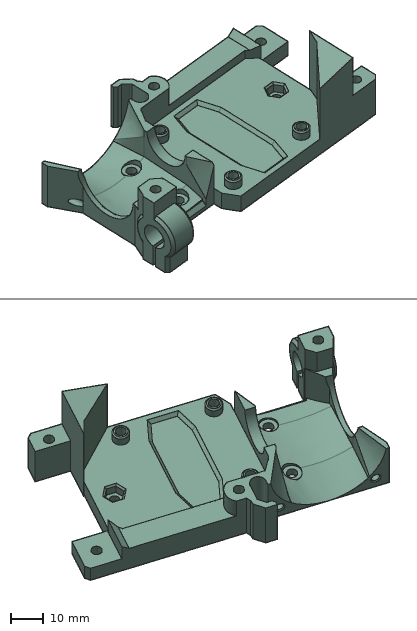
import cadquery as cq
import math

PLATE_W = 50.5
PLATE_FRONT = 36.1
PLATE_BACK = 90.3
PLATE_EDGE = 90.0
PLATE_T = 6.4
OVERALL_L = 102.1
BODY_H = 16.9
SCREW_D = 3.4

PLATE_CORNER_Y = 39.2
PLATE_CORNER_X = 5.3
STRIP_W = 8.2
STRIP_H = 9.8
RAMP_START = 87.8
RAMP_TOP = 11.7
RAMP_TIP_X = 11.6

LEFT_TAB_W = 12.1
LEFT_TAB_H = 5.8
RIGHT_TAB_X = 43.2
RIGHT_TAB_H = 14.7
TAB_CORNER = 1.4
TAB_HOLE_Y = 96.3
TAB_HOLES_X = (6.0, 46.3)

POST_LEFT = 32.2
POST_KNEE = (37.2, 88.2)
POST_FRONT = 75.1
POST_TOP = 30.5
POST_FRONT_TOP = 27.5

NUT_POS = (25.1, 82.8)
NUT_FLATS = 5.5
NUT_RIM_FLATS = 6.7
NUT_DEPTH = 3.6
STANDOFFS = ((44.8, 72.9), (13.8, 41.9), (44.8, 41.9))
STANDOFF_D = 5.5
STANDOFF_H = 9.8
STANDOFF_CHAMFER = 0.5
POCKET_CENTER = (29.4, 57.4)
POCKET_L = 38.5
POCKET_FLAT_L = 22.7
POCKET_W = 15.5
POCKET_SIDE_W = 10.4
POCKET_DEPTH = 1.1

BOSS_POS = (4.1, 49.6)
BOSS_R = 4.7
SLOT_BOTTOM = 40.5
SLOT_TOP = 45.7
SLOT_END_X = 4.3
HOOK_OUTLINE = (
    (0, SLOT_TOP), (0, 48.7), (-1.4, 47.9), (-3.0, 47.7), (-5.9, 44.6), (-5.9, 40.7), (-4.8, 40.7),
    (-3.9, 41.9), (-3.9, 43.5), (-2.2, 45.2), (-1.5, SLOT_TOP),
)

DUCT_LEFT = 2.7
DUCT_RIGHT = 42.0
DUCT_CORNER_X = 13.0
FRONT_TIP_X = 5.0
FAN_WALL_END = 15.1
DUCT_FRONT = 5.3
DUCT_REAR = SLOT_BOTTOM
FAN_AXIS_Y = 20.3
FAN_AXIS_Z = 19.5
FAN_R = 19.4
FAN_SCREW_SPACING = 32.1
FAN_SCREW_MIDDLE_Y = 20.5
FAN_SCREW_Z = 4.0
FAN_SCREW_D = 2.8
FAN_SCREW_RIM_D = 3.5
SINK_FRONT = 7.0
SINK_REAR = 32.6
SINK_X = 25.0
FLARE_START = 0.4
FLARE_END = 15.7
FLARE_END_CREASE = 14.3
FLARE_END_CORNER = 5.9
FLARE_END_FLOOR = 3.0
OUTLET_START = 33.7
OUTLET_CREASE = 13.6
OUTLET_CORNER = 5.3
OUTLET_FLOOR = 3.7
OUTLET_REAR = 36.5
LIP_H = 2.9
LIP_CREASE = 4.3
LIP_CORNER = 3.1
LIP_CHAMFER = 1.4
CORNER_WALL = ((35.3, SINK_FRONT), (44.9, 15.5), (44.9, SINK_FRONT))
NECK_R = 8.1
ARCH_R = 11.3
FLOOR_SCREWS = ((15.0, 27.6), (35.0, 27.6))
FLOOR_SCREW_HEAD_D = 6.2
FLOOR_SCREW_SEAT = 2.9
UNDERSIDE_CHAMFER = 3.1

SHOULDER_START = (37.2, DUCT_FRONT)
SHOULDER_END = (42.7, 3.0)

CLAMP_FRONT = 2.5
CLAMP_BACK = 12.7
CLAMP_LEFT = 43.3
CLAMP_X = 48
CLAMP_Z = 12.1
CLAMP_R = 8.1
CLAMP_BORE_D = 8.4
CLAMP_FOOT_W = 11.2
CLAMP_SLOT_W = 1
CLAMP_CHAMFER = 1
LUG_LEFT = 39.3
LUG_RIGHT = 47.9
LUG_TOP = 26.2
LUG_CORNER_X = 2.7
LUG_CORNER_Y = 3.0
LUG_HOLE = (43.9, 7.5)
LUG_HOLE_DEPTH = 10.2


def prism(points, bottom, top):
    """Upright prism over a plan outline."""
    return cq.Workplane("XY", origin=(0, 0, bottom)).polyline(points).close().extrude(top - bottom)


def box(x0, x1, y0, y1, z0, z1):
    """Block between the given limits along each axis."""
    return cq.Workplane("XY").box(x1 - x0, y1 - y0, z1 - z0, centered=False).translate((x0, y0, z0))


def upright(points, diameter, bottom, top):
    """Upright cylinders at the given plan positions."""
    plane = cq.Workplane("XY", origin=(0, 0, bottom))
    return plane.pushPoints(points).circle(diameter / 2).extrude(top - bottom)


def along_y(x, z, radius, front, back):
    """Cylinder whose axis runs along Y."""
    return cq.Workplane("XZ", origin=(x, front, z)).circle(radius).extrude(front - back)


def make_plate():
    outline = [
        (0, SLOT_TOP), (0, PLATE_EDGE), (PLATE_W, PLATE_EDGE), (PLATE_W, PLATE_CORNER_Y),
        (PLATE_W - PLATE_CORNER_X, PLATE_FRONT), (STRIP_W, PLATE_FRONT), (STRIP_W, SLOT_TOP),
    ]
    plate = prism(outline, 0, PLATE_T)
    ramp_inset = RAMP_TIP_X - STRIP_W
    strip = prism(
        [(0, SLOT_TOP), (STRIP_W, SLOT_TOP), (STRIP_W, PLATE_BACK - ramp_inset),
         (RAMP_TIP_X, PLATE_BACK), (0, PLATE_BACK)], 0, RAMP_TOP)
    strip_profile = (
        cq.Workplane("YZ")
        .polyline([(SLOT_TOP, 0), (PLATE_BACK, 0), (PLATE_BACK, RAMP_TOP), (RAMP_START, STRIP_H),
                   (SLOT_TOP, STRIP_H)])
        .close().extrude(PLATE_W))
    return plate.union(strip.intersect(strip_profile))


def make_tabs():
    left = box(0, LEFT_TAB_W, PLATE_EDGE, OVERALL_L, 0, LEFT_TAB_H)
    left = left.edges("|Z and <X and >Y").chamfer(TAB_CORNER)
    right = box(RIGHT_TAB_X, PLATE_W, PLATE_EDGE, OVERALL_L, 0, RIGHT_TAB_H)
    right = right.edges("|Z and >X and >Y").chamfer(TAB_CORNER)
    return left.union(right)


def make_post():
    outline = [(POST_LEFT, PLATE_BACK), POST_KNEE, (PLATE_W, POST_FRONT), (PLATE_W, PLATE_BACK)]
    slope = (
        cq.Workplane("YZ")
        .polyline([(POST_FRONT, 0), (PLATE_BACK, 0), (PLATE_BACK, POST_TOP), (POST_FRONT, POST_FRONT_TOP)])
        .close().extrude(PLATE_W))
    return prism(outline, 0, POST_TOP).intersect(slope)


def make_hook_and_boss():
    hook = prism(HOOK_OUTLINE, 0, BODY_H)
    boss_disc = upright([BOSS_POS], 2 * BOSS_R, 0, BODY_H)
    boss = boss_disc.intersect(box(0, STRIP_W, SLOT_TOP, PLATE_BACK, 0, BODY_H))
    block = box(0, STRIP_W, SLOT_TOP, BOSS_POS[1] + BOSS_R / 2, 0, BODY_H)
    return hook.union(boss).union(block)


def make_duct_body():
    outline = [
        (DUCT_LEFT, 0), (FRONT_TIP_X, 0), (FAN_WALL_END, DUCT_FRONT), SHOULDER_START, SHOULDER_END,
        (CLAMP_LEFT, CLAMP_FRONT), (CLAMP_LEFT, CLAMP_BACK), (DUCT_RIGHT, CLAMP_BACK),
        (DUCT_RIGHT, PLATE_FRONT), (DUCT_CORNER_X, PLATE_FRONT),
        (STRIP_W, PLATE_CORNER_Y), (STRIP_W, SLOT_TOP), (DUCT_LEFT, SLOT_TOP),
    ]
    slot_r = (SLOT_TOP - SLOT_BOTTOM) / 2
    slot_y = SLOT_BOTTOM + slot_r
    slot = box(DUCT_LEFT, SLOT_END_X, SLOT_BOTTOM, SLOT_TOP, 0, BODY_H)
    slot = slot.union(upright([(SLOT_END_X, slot_y)], 2 * slot_r, 0, BODY_H))
    underside = (
        cq.Workplane("YZ", origin=(DUCT_LEFT, 0, 0))
        .polyline([(DUCT_REAR, 0), (DUCT_REAR, UNDERSIDE_CHAMFER), (DUCT_REAR - UNDERSIDE_CHAMFER, 0)])
        .close().extrude(SLOT_END_X + slot_r - DUCT_LEFT))
    return prism(outline, 0, BODY_H).cut(slot).cut(underside)


def fan_section():
    """Round opening for the fan, split where the heatsink walls and the flares begin."""
    half = math.sqrt(FAN_R**2 - (FAN_AXIS_Z - BODY_H)**2)
    front = FAN_AXIS_Y - half
    rear = FAN_AXIS_Y + half
    front_crease = SINK_FRONT - FLARE_START
    rear_crease = SINK_REAR + FLARE_START

    def rim(y):
        return (y, FAN_AXIS_Z - math.sqrt(FAN_R**2 - (y - FAN_AXIS_Y)**2))

    return (
        cq.Workplane("YZ", origin=(DUCT_LEFT, 0, 0))
        .moveTo(front, BODY_H)
        .threePointArc(rim((front + front_crease) / 2), rim(front_crease))
        .lineTo(*rim(SINK_FRONT))
        .threePointArc(rim(FAN_AXIS_Y), rim(SINK_REAR))
        .lineTo(*rim(rear_crease))
        .threePointArc(rim((rear + rear_crease) / 2), (rear, BODY_H))
        .close().val())


def inner_section(x, rear_top, crease_z, corner_z, middle_z):
    """Section with a bowed floor and upright walls; above the crease the rear wall may lean out."""
    middle_y = (SINK_FRONT + SINK_REAR) / 2
    return (
        cq.Workplane("YZ", origin=(x, 0, 0))
        .moveTo(SINK_FRONT, BODY_H)
        .lineTo(SINK_FRONT, crease_z)
        .lineTo(SINK_FRONT, corner_z)
        .threePointArc((middle_y, middle_z), (SINK_REAR, corner_z))
        .lineTo(SINK_REAR, crease_z)
        .lineTo(rear_top, BODY_H)
        .close().val())


def make_cavity():
    """Air path from the fan to the right outlet, with the heatsink's seats in the two walls."""
    sections = [
        fan_section(),
        inner_section(FLARE_END, SINK_REAR, FLARE_END_CREASE, FLARE_END_CORNER, FLARE_END_FLOOR),
        inner_section(OUTLET_START, SINK_REAR, OUTLET_CREASE, OUTLET_CORNER, OUTLET_FLOOR),
        inner_section(DUCT_RIGHT, OUTLET_REAR, LIP_CREASE, LIP_CORNER, LIP_H),
    ]
    cavity = cq.Workplane("XY")
    for start, end in zip(sections, sections[1:]):
        cavity = cavity.union(cq.Workplane(cq.Solid.makeLoft([start, end], True)))
    outlet = box(DUCT_RIGHT, LUG_RIGHT, CLAMP_BACK, SINK_REAR, 0, BODY_H)
    lip_slope = (
        cq.Workplane("XZ", origin=(0, SINK_REAR, 0))
        .polyline([(DUCT_RIGHT - LIP_CHAMFER, LIP_CREASE), (DUCT_RIGHT - LIP_CHAMFER, LIP_H),
                   (DUCT_RIGHT, LIP_H - LIP_CHAMFER), (DUCT_RIGHT, LIP_CREASE)])
        .close().extrude(SINK_REAR - CLAMP_BACK))
    corner_wall = prism(CORNER_WALL, 0, BODY_H)
    neck = along_y(SINK_X, BODY_H, NECK_R, FAN_AXIS_Y, PLATE_FRONT)
    arch = along_y(SINK_X, BODY_H, ARCH_R, 0, FAN_AXIS_Y)
    return cavity.union(outlet).union(lip_slope).cut(corner_wall).union(neck).union(arch)


def make_clamp():
    tube = along_y(CLAMP_X, CLAMP_Z, CLAMP_R, CLAMP_FRONT, CLAMP_BACK)
    tube = tube.faces("<Y or >Y").chamfer(CLAMP_CHAMFER)
    half_foot = CLAMP_FOOT_W / 2
    foot = box(CLAMP_X - half_foot, CLAMP_X + half_foot, CLAMP_FRONT, CLAMP_BACK, 0, CLAMP_Z - CLAMP_R / 2)
    foot = foot.edges("|Z").chamfer(CLAMP_CHAMFER)
    shoulder_slope = (SHOULDER_END[1] - SHOULDER_START[1]) / (SHOULDER_END[0] - SHOULDER_START[0])
    lug_front = SHOULDER_START[1] + shoulder_slope * (LUG_LEFT - SHOULDER_START[0])
    lug_outline = [
        (LUG_LEFT, lug_front), SHOULDER_END, (CLAMP_LEFT, CLAMP_FRONT), (LUG_RIGHT, CLAMP_FRONT),
        (LUG_RIGHT, CLAMP_BACK), (LUG_LEFT + LUG_CORNER_X, CLAMP_BACK),
        (LUG_LEFT, CLAMP_BACK - LUG_CORNER_Y),
    ]
    return tube.union(foot).union(prism(lug_outline, 0, LUG_TOP))


def cut_clamp(body):
    half_slot = CLAMP_SLOT_W / 2
    bore = along_y(CLAMP_X, CLAMP_Z, CLAMP_BORE_D / 2, 0, CLAMP_BACK)
    slot = box(CLAMP_X - half_slot, CLAMP_X + half_slot, CLAMP_FRONT, CLAMP_BACK, 0, CLAMP_Z)
    screw = upright([LUG_HOLE], SCREW_D, LUG_TOP - LUG_HOLE_DEPTH, LUG_TOP)
    return body.cut(bore).cut(slot).cut(screw)


def add_standoffs(body):
    posts = upright(STANDOFFS, STANDOFF_D, 0, STANDOFF_H).faces(">Z").chamfer(STANDOFF_CHAMFER)
    return body.union(posts).cut(upright(STANDOFFS, SCREW_D, 0, STANDOFF_H))


def cut_nut_trap(body):
    def hexagon(z, flats):
        corner_d = flats / math.cos(math.pi / 6)
        return cq.Workplane("XY", origin=(*NUT_POS, z)).transformed(rotate=(0, 0, 30)).polygon(6, corner_d)

    rim_depth = (NUT_RIM_FLATS - NUT_FLATS) / 2
    trap = hexagon(PLATE_T - NUT_DEPTH, NUT_FLATS).extrude(NUT_DEPTH)
    rim = hexagon(PLATE_T, NUT_RIM_FLATS).extrude(-rim_depth, taper=45)
    return body.cut(trap).cut(rim).cut(upright([NUT_POS], SCREW_D, 0, PLATE_T))


def cut_top_pocket(body):
    half_l = POCKET_L / 2
    half_flat = POCKET_FLAT_L / 2
    half_w = POCKET_W / 2
    half_side = POCKET_SIDE_W / 2
    outline = [
        (half_l, half_side), (half_flat, half_w), (-half_flat, half_w), (-half_l, half_side),
        (-half_l, -half_side), (-half_flat, -half_w), (half_flat, -half_w), (half_l, -half_side),
    ]
    pocket = (
        cq.Workplane("XY", origin=(*POCKET_CENTER, PLATE_T))
        .polyline(outline).close().extrude(-POCKET_DEPTH, taper=45))
    return body.cut(pocket)


def cut_duct_screws(body):
    half = FAN_SCREW_SPACING / 2
    rim_depth = (FAN_SCREW_RIM_D - FAN_SCREW_D) / 2
    face = cq.Workplane("YZ", origin=(DUCT_LEFT, 0, 0))
    face = face.pushPoints([(FAN_SCREW_MIDDLE_Y + side * half, FAN_SCREW_Z) for side in (-1, 1)])
    body = body.cut(face.circle(FAN_SCREW_D / 2).extrude(FAN_WALL_END - DUCT_LEFT))
    body = body.cut(face.circle(FAN_SCREW_RIM_D / 2).extrude(rim_depth, taper=45))
    body = body.cut(upright(FLOOR_SCREWS, SCREW_D, 0, BODY_H))
    return body.cut(upright(FLOOR_SCREWS, FLOOR_SCREW_HEAD_D, FLOOR_SCREW_SEAT, BODY_H))


result = make_duct_body().union(make_clamp()).cut(make_cavity())
for feature in (make_plate(), make_tabs(), make_post(), make_hook_and_boss()):
    result = result.union(feature)
result = cut_clamp(result)
result = add_standoffs(result)
result = cut_nut_trap(result)
result = cut_top_pocket(result)
result = cut_duct_screws(result)
result = result.cut(upright([BOSS_POS], SCREW_D, 0, BODY_H))
result = result.cut(upright([(x, TAB_HOLE_Y) for x in TAB_HOLES_X], SCREW_D, 0, RIGHT_TAB_H))